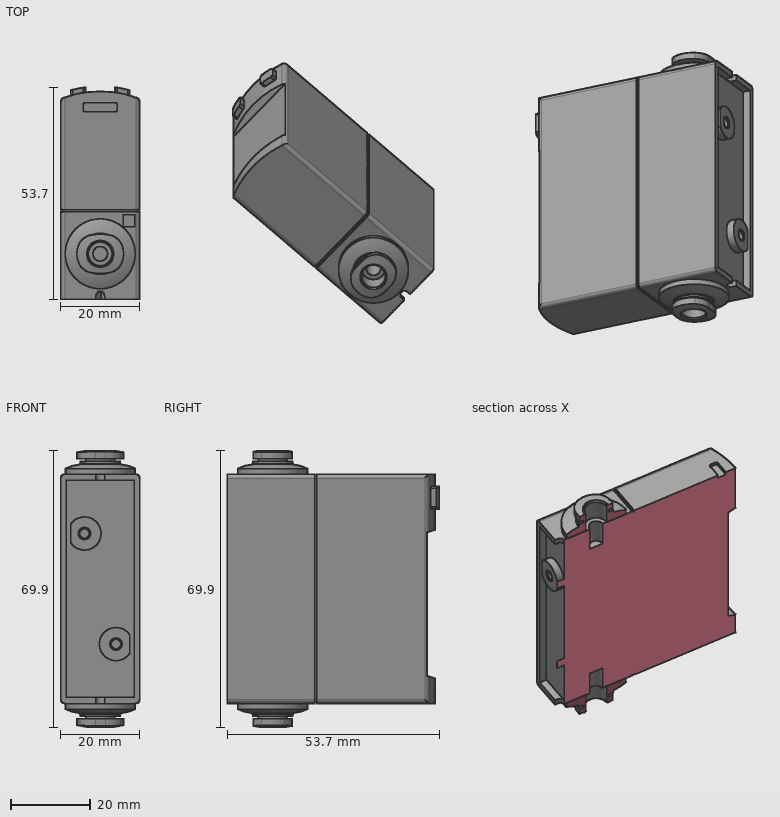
import cadquery as cq
import math

WIDTH = 20.0
HEIGHT = 58.0
CROWN_Y = 52.6
CROWN_RADIUS = 26.55
SIDE_DEPTH = 49.75
EDGE_ROUND = 1.05

GROOVE_Y = 22.15
GROOVE_WIDTH = 0.55
GROOVE_DEPTH = 0.3

RECESS_DEPTH = 2.0
RECESS_SIDE_WALL = 1.4
RECESS_END_WALL = 1.55
NOTCH_WIDTH = 2.2
BOSS_DIAMETER = 8.4
BOSS_X = 4.0
BOSS_Z = 14.0
BOSS_FLAT = 3.4
SCREW_DIAMETER = 2.45
SCREW_MOUTH_DIAMETER = 3.1
SCREW_DEPTH = 5.6

BACK_FLOOR_Y = 50.6
BACK_RECESS_TOP = 14.25
BACK_RECESS_BOTTOM = -22.0
BACK_RECESS_FLARE = 0.6

BUTTON_INNER_X = 3.7
BUTTON_OUTER_X = 7.5
BUTTON_BOTTOM = 20.1
BUTTON_HEIGHT = 5.8
BUTTON_CHAMFER = 0.55
BUTTON_TIP_Y = 53.7

SLOT_LENGTH = 8.6
SLOT_WIDTH = 2.3
SLOT_Y = 48.6
SLOT_DEPTH = 0.85
SLOT_CORNER = 0.55
LABEL_SIZE = 3.0
LABEL_X = 7.3
LABEL_Y = 19.9
LABEL_DEPTH = 0.15

TOTAL_HEIGHT = 69.9
FITTING_HEIGHT = (TOTAL_HEIGHT - HEIGHT) / 2
FITTING_Y = 11.5
FLANGE_DIAMETER = 17.7
FLANGE_TOP = 1.4
DOME_TOP = 2.45
DOME_BULGE = 0.2
STEP_DIAMETER = 10.4
STEP_TOP = 2.65
COLLAR_DIAMETER = 10.05
COLLAR_TOP = 3.2
NECK_DIAMETER = 7.4
HEAD_BOTTOM = 3.85
HEAD_RIM = 5.5
HEAD_DIAMETER = 11.8
HEAD_ACROSS_FLATS = 9.85
HEAD_FLAT_LENGTH = 2.5
HEAD_CORNER_RADIUS = 4.75
BORE_DIAMETER = 6.0
BORE_MOUTH_DIAMETER = 6.8
PORT_DIAMETER = 3.7
PORT_DEPTH = 7.0

HALF_WIDTH = WIDTH / 2
TOP_Z = HEIGHT / 2
CROWN_CENTRE_Y = CROWN_Y - CROWN_RADIUS


def block(x_range, y_range, z_range):
    """Rectangular block between the given limits."""
    lows, highs = zip(x_range, y_range, z_range)
    sizes = [high - low for low, high in zip(lows, highs)]
    return cq.Workplane("XY").box(*sizes, centered=False).translate(lows)


def front_plane(y):
    """Sketch plane at depth y, facing the front (-Y); sketch axes are X and Z."""
    return cq.Workplane("XZ", origin=(0, y, 0))


def rounded_section(inset, y_start, y_length):
    """Bar along Y with the housing section, made smaller all round by the inset."""
    bar = front_plane(y_start).rect(WIDTH - 2 * inset, HEIGHT - 2 * inset).extrude(-y_length)
    return bar.edges("|Y").fillet(EDGE_ROUND - inset)


def crown_height(x, radius):
    """Y of an arc of the given radius about the crown axis."""
    return CROWN_CENTRE_Y + math.sqrt(radius**2 - x**2)


def shell_body():
    """Rounded bar along Y, trimmed by the outline with the arched back."""
    shoulder_x = HALF_WIDTH - EDGE_ROUND
    shoulder_y = crown_height(shoulder_x, CROWN_RADIUS)
    round_x = HALF_WIDTH - EDGE_ROUND * (1 - math.sqrt(0.5))
    round_y = SIDE_DEPTH + (shoulder_y - SIDE_DEPTH) * math.sqrt(0.5)
    outline = (
        cq.Workplane("XY")
        .workplane(offset=-TOP_Z)
        .moveTo(-HALF_WIDTH, 0)
        .lineTo(HALF_WIDTH, 0)
        .lineTo(HALF_WIDTH, SIDE_DEPTH)
        .threePointArc((round_x, round_y), (shoulder_x, shoulder_y))
        .threePointArc((0, CROWN_Y), (-shoulder_x, shoulder_y))
        .threePointArc((-round_x, round_y), (-HALF_WIDTH, SIDE_DEPTH))
        .close()
        .extrude(HEIGHT)
    )
    return outline.intersect(rounded_section(0, 0, CROWN_Y))


def parting_groove():
    outer = front_plane(GROOVE_Y).rect(2 * WIDTH, 2 * HEIGHT).extrude(-GROOVE_WIDTH)
    return outer.cut(rounded_section(GROOVE_DEPTH, GROOVE_Y, GROOVE_WIDTH))


def front_recess():
    """Recess in the front face together with the two notches through its end walls."""
    recess = (
        front_plane(0)
        .rect(WIDTH - 2 * RECESS_SIDE_WALL, HEIGHT - 2 * RECESS_END_WALL)
        .extrude(-RECESS_DEPTH)
    )
    radius = NOTCH_WIDTH / 2
    notch = (
        cq.Workplane("XY")
        .workplane(offset=-TOP_Z)
        .moveTo(-radius, 0)
        .lineTo(radius, 0)
        .lineTo(radius, RECESS_DEPTH - radius)
        .threePointArc((0, RECESS_DEPTH), (-radius, RECESS_DEPTH - radius))
        .close()
        .extrude(HEIGHT)
    )
    return recess.union(notch)


def mounting_boss(side):
    """Boss flush with the front face; side -1 is the upper left one, +1 the lower right one."""
    boss = (
        front_plane(0)
        .center(side * BOSS_X, -side * BOSS_Z)
        .circle(BOSS_DIAMETER / 2)
        .extrude(-RECESS_DEPTH)
    )
    flat_x = BOSS_X + BOSS_FLAT
    limits = sorted((side * flat_x, -side * HALF_WIDTH))
    return boss.intersect(block(limits, (0, RECESS_DEPTH), (-TOP_Z, TOP_Z)))


def screw_hole(side):
    """Blind screw hole on a boss axis with a 45 degree mouth."""
    radius = SCREW_DIAMETER / 2
    mouth_radius = SCREW_MOUTH_DIAMETER / 2
    return (
        cq.Workplane("XY")
        .polyline([
            (0, 0),
            (mouth_radius, 0),
            (radius, mouth_radius - radius),
            (radius, SCREW_DEPTH),
            (0, SCREW_DEPTH),
        ])
        .close()
        .revolve(360, (0, 0, 0), (0, 1, 0))
        .translate((side * BOSS_X, 0, -side * BOSS_Z))
    )


def back_recess():
    """Flat-floored cut across the crown with sloping ends."""
    return (
        cq.Workplane("YZ")
        .workplane(offset=-HALF_WIDTH)
        .polyline([
            (BACK_FLOOR_Y, BACK_RECESS_BOTTOM),
            (BACK_FLOOR_Y, BACK_RECESS_TOP),
            (CROWN_Y, BACK_RECESS_TOP + BACK_RECESS_FLARE),
            (CROWN_Y, BACK_RECESS_BOTTOM - BACK_RECESS_FLARE),
        ])
        .close()
        .extrude(WIDTH)
    )


def button(side):
    """Push button with chamfered corners and a tip that follows the crown."""
    stalk = block(
        (BUTTON_INNER_X, BUTTON_OUTER_X),
        (BACK_FLOOR_Y, BUTTON_TIP_Y),
        (BUTTON_BOTTOM, BUTTON_BOTTOM + BUTTON_HEIGHT),
    )
    stalk = stalk.edges("|Y").chamfer(BUTTON_CHAMFER)
    tip_radius = math.hypot(BUTTON_INNER_X, BUTTON_TIP_Y - CROWN_CENTRE_Y)
    tip = (
        cq.Workplane("XY")
        .center(0, CROWN_CENTRE_Y)
        .circle(tip_radius)
        .extrude(TOP_Z)
    )
    stalk = stalk.intersect(tip)
    return stalk if side > 0 else stalk.mirror("YZ")


def top_pockets():
    """Long slot near the back and the square label recess beside the upper fitting."""
    slot = (
        cq.Workplane("XY", origin=(0, SLOT_Y, TOP_Z))
        .rect(SLOT_LENGTH, SLOT_WIDTH)
        .extrude(-SLOT_DEPTH)
        .edges("|Z")
        .fillet(SLOT_CORNER)
    )
    label = (
        cq.Workplane("XY", origin=(LABEL_X, LABEL_Y, TOP_Z))
        .rect(LABEL_SIZE, LABEL_SIZE)
        .extrude(-LABEL_DEPTH)
    )
    return slot.union(label)


def port(end):
    """Blind passage under a fitting; end is +1 at the top and -1 at the bottom."""
    return (
        cq.Workplane("XY", origin=(0, FITTING_Y, end * TOP_Z))
        .circle(PORT_DIAMETER / 2)
        .extrude(-end * PORT_DEPTH)
    )


def make_housing():
    body = shell_body().cut(parting_groove()).cut(front_recess()).cut(back_recess())
    for side in (-1, 1):
        body = body.union(mounting_boss(side)).cut(screw_hole(side)).union(button(side))
    body = body.cut(top_pockets())
    for end in (-1, 1):
        body = body.cut(port(end))
    return body


def fitting_base():
    """Domed flange with a low step, collar and neck, revolved about the fitting axis."""
    flange_radius = FLANGE_DIAMETER / 2
    step_radius = STEP_DIAMETER / 2
    collar_radius = COLLAR_DIAMETER / 2
    neck_radius = NECK_DIAMETER / 2
    dome_middle = (
        (flange_radius + step_radius) / 2,
        (FLANGE_TOP + DOME_TOP) / 2 + DOME_BULGE,
    )
    return (
        cq.Workplane("XZ")
        .moveTo(0, 0)
        .lineTo(flange_radius, 0)
        .lineTo(flange_radius, FLANGE_TOP)
        .threePointArc(dome_middle, (step_radius, DOME_TOP))
        .lineTo(step_radius, STEP_TOP)
        .lineTo(collar_radius, STEP_TOP)
        .lineTo(collar_radius, COLLAR_TOP)
        .lineTo(neck_radius, COLLAR_TOP)
        .lineTo(neck_radius, HEAD_BOTTOM)
        .lineTo(0, HEAD_BOTTOM)
        .close()
        .revolve(360, (0, 0, 0), (0, 1, 0))
    )


def release_head():
    """Round head with a conical top, narrowed to two flats with rounded corners."""
    head_radius = HEAD_DIAMETER / 2
    round_head = (
        cq.Workplane("XZ")
        .polyline([
            (0, HEAD_BOTTOM),
            (head_radius, HEAD_BOTTOM),
            (head_radius, HEAD_RIM),
            (BORE_MOUTH_DIAMETER / 2, FITTING_HEIGHT),
            (0, FITTING_HEIGHT),
        ])
        .close()
        .revolve(360, (0, 0, 0), (0, 1, 0))
    )
    flats = (
        cq.Workplane("XY")
        .rect(HEAD_FLAT_LENGTH + 2 * HEAD_CORNER_RADIUS, HEAD_ACROSS_FLATS)
        .extrude(FITTING_HEIGHT)
        .edges("|Z")
        .fillet(HEAD_CORNER_RADIUS)
    )
    return round_head.intersect(flats)


def fitting_bore():
    """Through bore with a 45 degree mouth."""
    radius = BORE_DIAMETER / 2
    mouth_radius = BORE_MOUTH_DIAMETER / 2
    return (
        cq.Workplane("XZ")
        .polyline([
            (0, 0),
            (radius, 0),
            (radius, FITTING_HEIGHT - (mouth_radius - radius)),
            (mouth_radius, FITTING_HEIGHT),
            (0, FITTING_HEIGHT),
        ])
        .close()
        .revolve(360, (0, 0, 0), (0, 1, 0))
    )


def make_fitting(end):
    """Push-in fitting on the top (+1) or bottom (-1) face of the housing."""
    fitting = fitting_base().union(release_head()).cut(fitting_bore())
    fitting = fitting.translate((0, FITTING_Y, TOP_Z))
    return fitting if end > 0 else fitting.mirror("XY")


housing = make_housing()
fittings = [make_fitting(end) for end in (1, -1)]

result = cq.Compound.makeCompound([housing.val(), *[fitting.val() for fitting in fittings]])